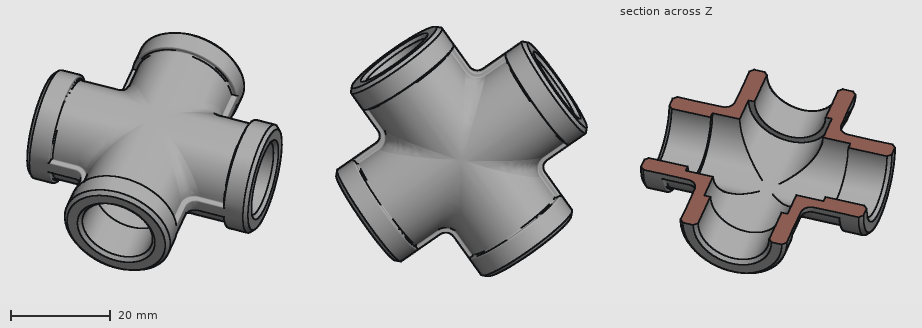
import cadquery as cq
import math

overall_length = 47.0
collar_diameter = 22.5
collar_length = 5.0
collar_chamfer = 0.8
pipe_diameter = 20.5
bore_diameter = 14.95
bore_depth = 9.0
mouth_diameter = 16.5
chamber_diameter = 17.5
rib_width = 3.0
rib_corner_radius = 2.0
edge_fillet = 0.3
blend_end_offset = 1.4

half_length = overall_length / 2
collar_radius = collar_diameter / 2
pipe_radius = pipe_diameter / 2
bore_radius = bore_diameter / 2
mouth_radius = mouth_diameter / 2
mouth_depth = mouth_radius - bore_radius
chamber_radius = chamber_diameter / 2
chamber_end = half_length - bore_depth
collar_face = half_length - collar_length
pipe_blend_radius = collar_radius + rib_corner_radius - pipe_radius
blend_height = math.sqrt(pipe_radius**2 - blend_end_offset**2)

tolerance = 0.001


def turned_about_z(shape, angle):
    return shape.rotate((0, 0, 0), (0, 0, 1), angle)


def cross_of_cylinders(radius):
    """Two equal cylinders along X and Y, reaching from collar to collar."""
    along_x = cq.Workplane("YZ").circle(radius).extrude(collar_face, both=True)
    along_y = cq.Workplane("XZ").circle(radius).extrude(collar_face, both=True)
    return along_x.union(along_y)


def blended_cross(radius, blend_radius, thickness):
    """A cylinder cross cut to a flat slab, with its four crotches rounded."""
    slab = cq.Workplane("XY").box(overall_length, overall_length, thickness)
    cross = cross_of_cylinders(radius).intersect(slab)
    return cross.edges("%ELLIPSE").fillet(blend_radius)


def make_pipes():
    """Crossing pipes whose crotch blends fade out near the top and bottom centre."""
    blends = blended_cross(pipe_radius, pipe_blend_radius, 2 * blend_height)
    return cross_of_cylinders(pipe_radius).union(blends)


def make_ribs():
    """Ribs along the pipe sides, flush with the collars and rounded at the corners."""
    return blended_cross(collar_radius, rib_corner_radius, rib_width)


def make_collar():
    """Collar of the +X arm, with its seam line turned to the top, clear of the ribs."""
    collar = cq.Workplane("YZ", origin=(collar_face, 0, 0)).circle(collar_radius).extrude(collar_length)
    collar = collar.faces(">X").chamfer(collar_chamfer)
    return collar.rotate((0, 0, 0), (1, 0, 0), 90)


def step_edges(body):
    """Edges along the top and foot of the raised ribs and collars.

    The short corner edges where a rib side meets a collar face lie on both and stay sharp.
    """
    edges = []
    for edge in body.edges().vals():
        center = edge.Center()
        reach = max(abs(center.x), abs(center.y))
        on_collar_face = abs(reach - collar_face) < tolerance
        on_rib_side = abs(abs(center.z) - rib_width / 2) < tolerance
        if on_collar_face != on_rib_side:
            edges.append(edge)
    return edges


def make_cavity():
    """Hollow of the two X arms: countersunk bores at the ends, wider chamber between."""
    profile = (
        cq.Workplane("XY")
        .moveTo(0, 0)
        .lineTo(0, chamber_radius)
        .lineTo(chamber_end, chamber_radius)
        .lineTo(chamber_end, bore_radius)
        .lineTo(half_length - mouth_depth, bore_radius)
        .lineTo(half_length, mouth_radius)
        .lineTo(half_length, 0)
        .close()
    )
    half_cavity = profile.revolve(360, (0, 0), (1, 0))
    return half_cavity.union(half_cavity.mirror("YZ"))


def make_part():
    body = make_pipes().union(make_ribs())
    for angle in (0, 90, 180, 270):
        body = body.union(turned_about_z(make_collar(), angle))
    body = body.newObject(step_edges(body)).fillet(edge_fillet)
    for angle in (0, 90):
        body = body.cut(turned_about_z(make_cavity(), angle))
    return body.solids()


result = make_part()